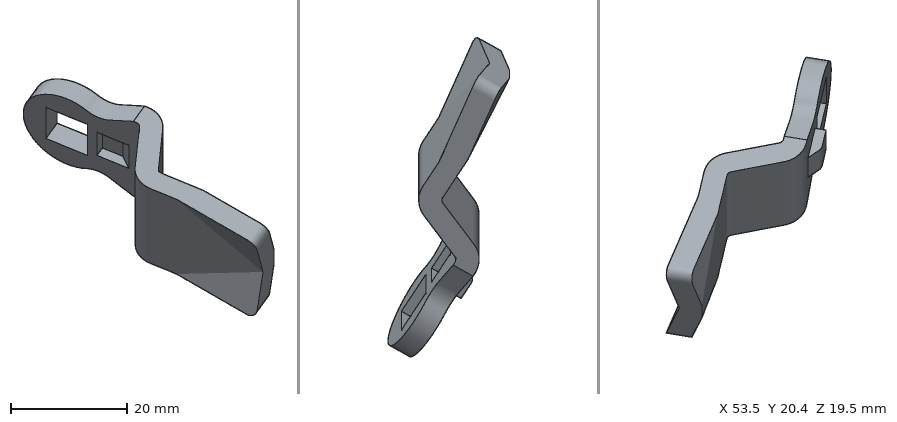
import cadquery as cq
import math

length = 53.5
width = 19.5
thickness = 4.0
head_radius = 8.5
square_side = 8.1

tip_x = length - head_radius
half_width = width / 2

neck_half_width = 7.0
neck_radius = 5.0
shoulder_x = 13.05

bend_start_x = 13.65
bend_angle = math.radians(66)
bend_inner_radius = 1.0
bend_outer_radius = bend_inner_radius + thickness
blade_offset = 12.1

stop_start_x = 5.95
stop_flat_end_x = 9.95
stop_ramp_end_x = 12.15
stop_height = 1.9
stop_width = 6.0
stop_edge_radius = 2.0

fold_start_x = 28.15
fold_drop = 2.6
back_fold_shift = 3.0
corner_radius = 2.0


def polar(centre, radius, angle):
    """Point on a circle, with the angle in radians."""
    return (centre[0] + radius * math.cos(angle), centre[1] + radius * math.sin(angle))


def extrude_across(profile, span):
    """Extrude an XY profile symmetrically about Z = 0."""
    return profile.extrude(span / 2, both=True)


def bent_strip():
    """Strip of constant thickness with two opposite bends."""
    bend_radii = bend_inner_radius + bend_outer_radius
    bends_drop = bend_radii * (1 - math.cos(bend_angle))
    slope_length = (blade_offset - bends_drop) / math.sin(bend_angle)
    bend_end_x = bend_start_x + bend_radii * math.sin(bend_angle) + slope_length * math.cos(bend_angle)

    upper_centre = (bend_start_x, -bend_outer_radius)
    lower_centre = (bend_end_x, bend_inner_radius - blade_offset)
    up = math.pi / 2
    upper_end = up - bend_angle
    upper_mid = up - bend_angle / 2
    lower_start = -up - bend_angle
    lower_mid = -up - bend_angle / 2

    profile = (
        cq.Workplane("XY")
        .moveTo(-head_radius, 0)
        .lineTo(bend_start_x, 0)
        .threePointArc(
            polar(upper_centre, bend_outer_radius, upper_mid),
            polar(upper_centre, bend_outer_radius, upper_end),
        )
        .lineTo(*polar(lower_centre, bend_inner_radius, lower_start))
        .threePointArc(
            polar(lower_centre, bend_inner_radius, lower_mid),
            (bend_end_x, -blade_offset),
        )
        .lineTo(tip_x, -blade_offset)
        .lineTo(tip_x, -blade_offset - thickness)
        .lineTo(bend_end_x, -blade_offset - thickness)
        .threePointArc(
            polar(lower_centre, bend_outer_radius, lower_mid),
            polar(lower_centre, bend_outer_radius, lower_start),
        )
        .lineTo(*polar(upper_centre, bend_inner_radius, upper_end))
        .threePointArc(
            polar(upper_centre, bend_inner_radius, upper_mid),
            (bend_start_x, -thickness),
        )
        .lineTo(-head_radius, -thickness)
        .close()
    )
    return extrude_across(profile, width)


def outline():
    """Solid through the full depth with the outline of the part seen along Y."""
    neck_centre_z = neck_half_width + neck_radius
    neck_centre_x = math.sqrt((head_radius + neck_radius) ** 2 - neck_centre_z**2)
    neck_centre = (neck_centre_x, neck_centre_z)
    head_angle = math.atan2(neck_centre_z, neck_centre_x)
    head_tangent = polar((0, 0), head_radius, head_angle)

    to_shoulder = (shoulder_x - neck_centre_x, half_width - neck_centre_z)
    shoulder_angle = math.atan2(to_shoulder[1], to_shoulder[0])
    tangent_angle = shoulder_angle - math.acos(neck_radius / math.hypot(*to_shoulder))
    neck_end = polar(neck_centre, neck_radius, tangent_angle)
    neck_bottom = (neck_centre_x, neck_half_width)

    def mirrored(point):
        return (point[0], -point[1])

    cut_depth = 2 * (blade_offset + thickness + fold_drop)
    return (
        cq.Workplane("XZ")
        .moveTo(*head_tangent)
        .threePointArc(neck_bottom, neck_end)
        .lineTo(shoulder_x, half_width)
        .lineTo(tip_x, half_width)
        .lineTo(tip_x, -half_width)
        .lineTo(shoulder_x, -half_width)
        .lineTo(*mirrored(neck_end))
        .threePointArc(mirrored(neck_bottom), mirrored(head_tangent))
        .threePointArc((-head_radius, 0), head_tangent)
        .close()
        .extrude(cut_depth, both=True)
        .edges("|Y and >X")
        .fillet(corner_radius)
    )


def fold_wedge(side):
    """Tetrahedron between the flat front face and one folded corner."""
    front_y = -blade_offset - thickness
    edge_z = side * half_width
    start = cq.Vector(fold_start_x, front_y, edge_z)
    apex = cq.Vector(tip_x, front_y, 0)
    flat_corner = cq.Vector(tip_x, front_y, edge_z)
    folded_corner = cq.Vector(tip_x, front_y - fold_drop, edge_z)
    triangles = (
        (start, apex, flat_corner),
        (start, apex, folded_corner),
        (start, flat_corner, folded_corner),
        (apex, flat_corner, folded_corner),
    )
    faces = [cq.Face.makeFromWires(cq.Wire.makePolygon(points, close=True)) for points in triangles]
    return cq.Workplane(cq.Solid.makeSolid(cq.Shell.makeShell(faces)))


def stop_block():
    """Block on the back of the head with a ramp towards the blade."""
    profile = (
        cq.Workplane("XY")
        .moveTo(stop_start_x, 0)
        .lineTo(stop_start_x, stop_height)
        .lineTo(stop_flat_end_x, stop_height)
        .lineTo(stop_ramp_end_x, 0)
        .close()
    )
    return extrude_across(profile, stop_width)


strip = bent_strip()
for side in (1, -1):
    wedge = fold_wedge(side)
    strip = strip.union(wedge).cut(wedge.translate((back_fold_shift, thickness, 0)))

square_hole = cq.Workplane("XY").box(square_side, 2 * thickness, square_side).translate((0, -thickness / 2, 0))
stop_pocket = stop_block().translate((0, -thickness, 0))
rounded_stop = stop_block().edges("|Z and >Y").edges(">X").fillet(stop_edge_radius)

result = strip.intersect(outline()).union(rounded_stop).cut(stop_pocket).cut(square_hole)